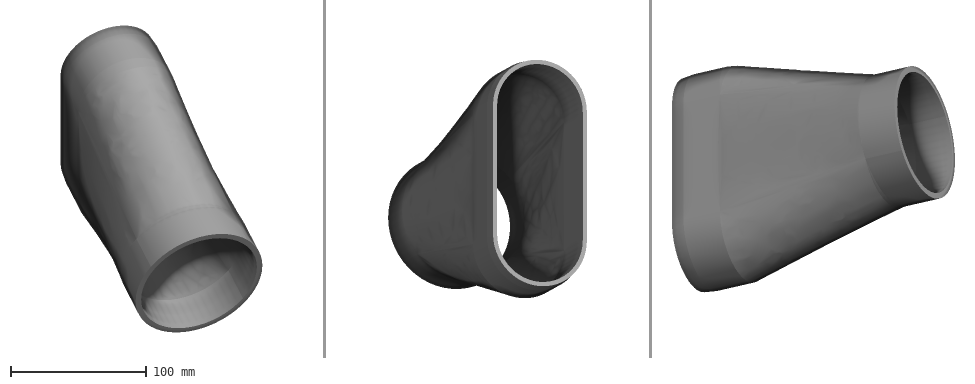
import cadquery as cq
import math

length = 190.0
slot_width = 76.0
slot_height = 172.9
tube_diameter = 100.1
wall = 4.4

lead_in_length = 10.0
slot_end = 40.0
tube_length = 30.0
tube_start = length - tube_length

lead_in_inset = 1.1

stretches = ("side +Y", "top", "side -Y", "bottom")

slot_blend = {"side +Y": 1.5, "top": 4.4, "side -Y": 1.5}
tube_blend = {"side +Y": 0.5, "top": 1.5, "side -Y": 0.5, "bottom": 1.5}

steps = 12

split_angle = math.acos(slot_width / tube_diameter)


def slot_point(stretch, u, inset):
    """Y, Z on the slot outline at fraction u of a stretch."""
    radius = slot_width / 2 - inset
    half_straight = (slot_height - slot_width) / 2
    if stretch == "side +Y":
        return radius, half_straight * (2 * u - 1)
    if stretch == "top":
        angle = math.pi * u
        return radius * math.cos(angle), half_straight + radius * math.sin(angle)
    y, z = slot_point("side +Y" if stretch == "side -Y" else "top", u, inset)
    return -y, -z


def round_point(stretch, u, inset):
    """Y, Z on the round outline at fraction u of a stretch."""
    radius = tube_diameter / 2 - inset
    side_span = 2 * split_angle
    end_span = math.pi - side_span
    start = {
        "side +Y": -split_angle,
        "top": split_angle,
        "side -Y": math.pi - split_angle,
        "bottom": math.pi + split_angle,
    }[stretch]
    angle = start + u * (side_span if stretch.startswith("side") else end_span)
    return radius * math.cos(angle), radius * math.sin(angle)


def curve(point_at):
    """Smooth edge along one stretch."""
    return cq.Edge.makeSpline([cq.Vector(*point_at(i / steps)) for i in range(steps + 1)])


def flat_edge(outline, stretch, x, inset):
    """Edge of an outline along one stretch, in the plane at x."""
    ends_and_middle = [cq.Vector(x, *outline(stretch, u, inset)) for u in (0, 0.5, 1)]
    if outline is slot_point and stretch.startswith("side"):
        return cq.Edge.makeLine(ends_and_middle[0], ends_and_middle[2])
    return cq.Edge.makeThreePointArc(*ends_and_middle)


def straight_blend_edge(outline, stretch, x, reach):
    """Edge on the straight slot or tube, bowed along X by reach at its middle."""
    return curve(lambda u: (x + reach * math.sin(math.pi * u), *outline(stretch, u, 0)))


def transition_blend_edge(stretch, x, reach):
    """Edge on the outside of the transition, bowed along X by reach at its middle."""

    def point_at(u):
        bowed_x = x + reach * math.sin(math.pi * u)
        fraction = (bowed_x - slot_end) / (tube_start - slot_end)
        y0, z0 = slot_point(stretch, u, 0)
        y1, z1 = round_point(stretch, u, 0)
        return bowed_x, y0 + fraction * (y1 - y0), z0 + fraction * (z1 - z0)

    return curve(point_at)


def corner_edges(outline, stretch, x, inset, blend, toward_tube):
    """Edges at a corner, in X order: one if it is sharp, two if it is eased."""
    if stretch not in blend:
        return [flat_edge(outline, stretch, x, inset)]
    reach = blend[stretch] * toward_tube
    on_straight = straight_blend_edge(outline, stretch, x, -reach)
    on_transition = transition_blend_edge(stretch, x, reach)
    return [on_straight, on_transition][::toward_tube]


def body(inset, mouth_inset, slot_corner, tube_corner):
    """Solid of lead-in (if drawn in), slot, transition and tube, offset inward by inset."""
    faces = []
    mouth_edges = []
    outlet_edges = []
    for stretch in stretches:
        edges = [flat_edge(slot_point, stretch, 0, mouth_inset)]
        if mouth_inset != inset:
            edges.append(flat_edge(slot_point, stretch, lead_in_length, inset))
        edges += corner_edges(slot_point, stretch, slot_end, inset, slot_corner, 1)
        edges += corner_edges(round_point, stretch, tube_start, inset, tube_corner, -1)
        edges.append(flat_edge(round_point, stretch, length, inset))
        for near, far in zip(edges, edges[1:]):
            faces.append(cq.Face.makeRuledSurface(near, far))
        mouth_edges.append(edges[0])
        outlet_edges.append(edges[-1])
    for edges in (mouth_edges, outlet_edges):
        faces.append(cq.Face.makeFromWires(cq.Wire.assembleEdges(edges)))
    return cq.Workplane(cq.Solid.makeSolid(cq.Shell.makeShell(faces)))


outside = body(0, lead_in_inset, slot_blend, tube_blend)
bore = body(wall, wall, {}, {})
result = outside.cut(bore).solids()